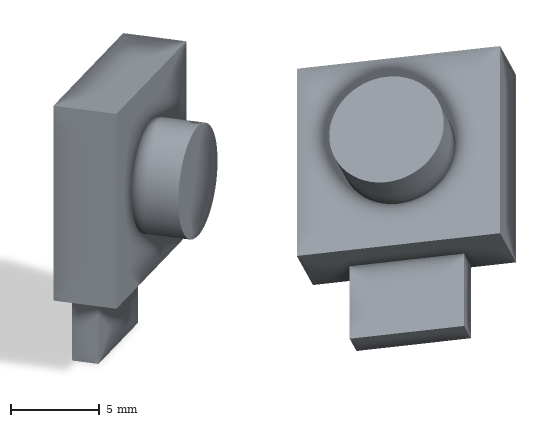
import cadquery as cq

total_depth = 6.6
total_height = 16.5

housing_side = 11.9
housing_depth = 3.8

boss_diameter = 6.7
boss_length = total_depth - housing_depth

tail_width = boss_diameter
tail_thickness = 1.6
tail_setback = 0.2
tail_length = total_height - housing_side

housing = cq.Workplane("YZ").rect(housing_side, housing_side).extrude(housing_depth)

boss = (
    cq.Workplane("YZ", origin=(housing_depth, 0, 0))
    .circle(boss_diameter / 2)
    .extrude(boss_length)
)

tail = (
    cq.Workplane("XY", origin=(tail_setback + tail_thickness / 2, 0, -housing_side / 2))
    .rect(tail_thickness, tail_width)
    .extrude(-tail_length)
)

result = housing.union(boss).union(tail)